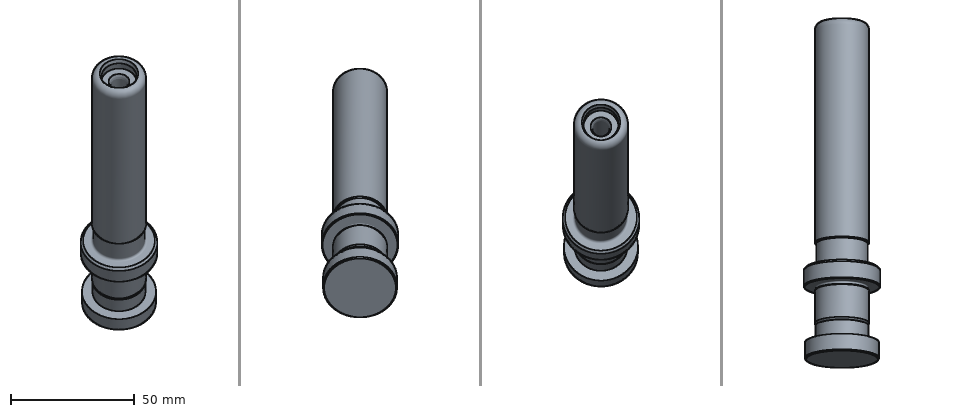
import cadquery as cq
import math

total_height = 140.0

cap_flange_radius = 15.0
cap_flange_height = 7.0
cap_edge_chamfer = 0.5
cap_spigot_radius = 10.75
cap_height = 14.0

shaft_radius = 11.0
relief_radius = 10.5
relief_depth = shaft_radius - relief_radius
end_chamfer = 1.0
seat_top = 28.5
seat_chamfer_height = 0.45
collar_radius = 15.5
collar_bottom = 30.0
collar_height = 8.0
collar_top = collar_bottom + collar_height
collar_bottom_chamfer = 0.4
collar_top_chamfer = 1.0
neck_fillet = 1.0
underside_fillet = 0.25
shaft_bottom = 48.0
top_round = 3.0

mouth_radius = 7.75
mouth_depth = 1.8
mouth_half_angle = 20.0
bore_radius = mouth_radius - mouth_depth * math.tan(math.radians(mouth_half_angle))
bore_depth = 5.0
tap_mouth_radius = 4.2
tap_throat_radius = 3.65
tap_throat_depth = 1.1
tap_radius = 3.4
tap_lead_depth = 2.1
tap_depth = 20.0
drill_half_angle = 59.0


def arc_middle(center_r, center_z, radius, angle):
    """Point on an arc in the (radius, height) plane, at an angle in degrees."""
    turn = math.radians(angle)
    return (center_r + radius * math.cos(turn), center_z + radius * math.sin(turn))


def make_cap():
    flange = (
        cq.Workplane("XY")
        .circle(cap_flange_radius)
        .extrude(cap_flange_height)
        .faces("<Z")
        .edges()
        .chamfer(cap_edge_chamfer)
    )
    spigot = cq.Workplane("XY").circle(cap_spigot_radius).extrude(cap_height)
    return flange.union(spigot)


def make_pillar():
    """Pillar turned in one piece, with its stepped blind bore on top."""
    bore_floor = total_height - bore_depth
    tap_bottom = bore_floor - tap_depth
    drill_point = tap_bottom - tap_radius / math.tan(math.radians(drill_half_angle))
    neck_arc = arc_middle(relief_radius + neck_fillet, collar_top + neck_fillet, neck_fillet, 225)
    underside_arc = arc_middle(
        relief_radius + underside_fillet,
        collar_bottom - underside_fillet,
        underside_fillet,
        135,
    )
    top_arc = arc_middle(shaft_radius - top_round, total_height - top_round, top_round, 45)

    half_section = (
        cq.Workplane("XZ")
        .moveTo(0, cap_height)
        .lineTo(shaft_radius - end_chamfer, cap_height)
        .lineTo(shaft_radius, cap_height + end_chamfer)
        .lineTo(shaft_radius, seat_top)
        .lineTo(relief_radius, seat_top + seat_chamfer_height)
        .lineTo(relief_radius, collar_bottom - underside_fillet)
        .threePointArc(underside_arc, (relief_radius + underside_fillet, collar_bottom))
        .lineTo(collar_radius - collar_bottom_chamfer, collar_bottom)
        .lineTo(collar_radius, collar_bottom + collar_bottom_chamfer)
        .lineTo(collar_radius, collar_top - collar_top_chamfer)
        .lineTo(collar_radius - collar_top_chamfer, collar_top)
        .lineTo(relief_radius + neck_fillet, collar_top)
        .threePointArc(neck_arc, (relief_radius, collar_top + neck_fillet))
        .lineTo(relief_radius, shaft_bottom)
        .lineTo(shaft_radius, shaft_bottom + relief_depth)
        .lineTo(shaft_radius, total_height - top_round)
        .threePointArc(top_arc, (shaft_radius - top_round, total_height))
        .lineTo(mouth_radius, total_height)
        .lineTo(bore_radius, total_height - mouth_depth)
        .lineTo(bore_radius, bore_floor)
        .lineTo(tap_mouth_radius, bore_floor)
        .lineTo(tap_throat_radius, bore_floor - tap_throat_depth)
        .lineTo(tap_radius, bore_floor - tap_lead_depth)
        .lineTo(tap_radius, tap_bottom)
        .lineTo(0, drill_point)
        .close()
    )
    return half_section.revolve(360, (0, 0, 0), (0, 1, 0))


cap = make_cap()
pillar = make_pillar()

result = cq.Compound.makeCompound([pillar.val(), cap.val()])